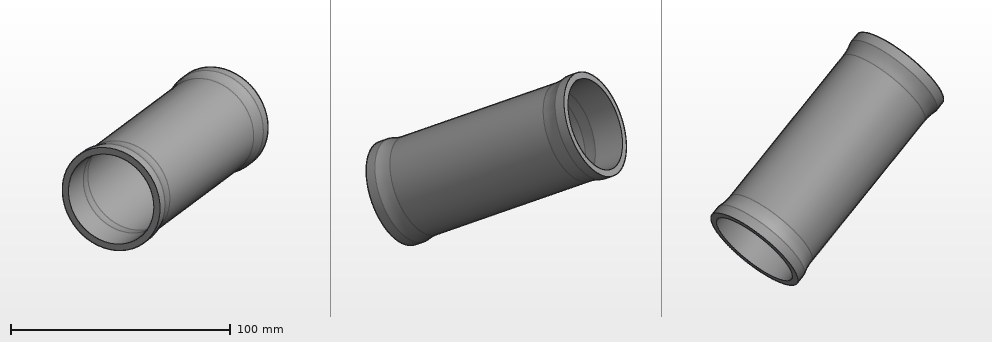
import cadquery as cq
import math

length = 110.0
collar_radius = 25.0
body_radius = 23.8
end_bore_radius = 21.8
middle_bore_radius = 22.5

collar_length = 5.0
flare_length = 7.5
end_bore_length = 15.1
bore_taper_length = 6.0


def revolved_profile(middle_radius, end_radius, straight, blend):
    """Solid of revolution with straight ends, tangent arc blends and a straight middle.

    middle_radius is that of the middle, and end_radius is that of both ends.
    """
    half = length / 2
    end_start = half - straight
    middle_end = end_start - blend
    rise = end_radius - middle_radius
    arc_radius = (blend**2 + rise**2) / (2 * rise)
    half_blend = blend / 2
    mid_rise = arc_radius - math.copysign(math.sqrt(arc_radius**2 - half_blend**2), arc_radius)
    arc_middle = (middle_radius + mid_rise, middle_end + half_blend)
    return (
        cq.Workplane("XY")
        .moveTo(0, -half)
        .lineTo(end_radius, -half)
        .lineTo(end_radius, -end_start)
        .threePointArc((arc_middle[0], -arc_middle[1]), (middle_radius, -middle_end))
        .lineTo(middle_radius, middle_end)
        .threePointArc(arc_middle, (end_radius, end_start))
        .lineTo(end_radius, half)
        .lineTo(0, half)
        .close()
        .revolve(360, (0, 0, 0), (0, 1, 0))
    )


outside = revolved_profile(body_radius, collar_radius, collar_length, flare_length)
bore = revolved_profile(middle_bore_radius, end_bore_radius, end_bore_length, bore_taper_length)
result = outside.cut(bore)